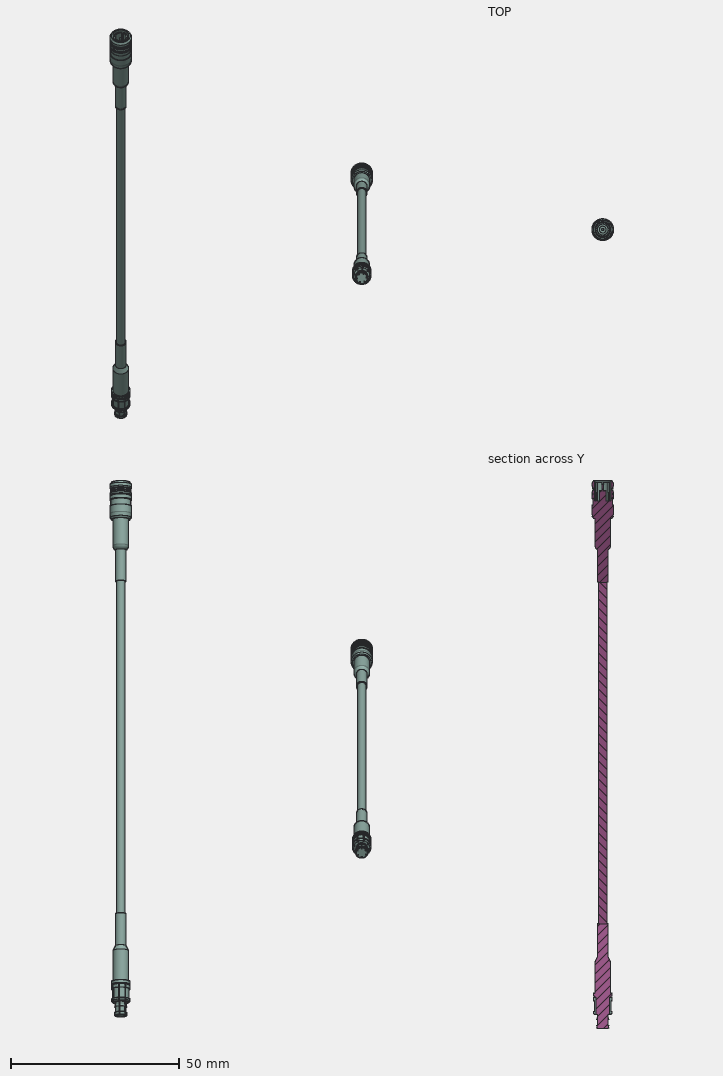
import cadquery as cq
import math

TOTAL_LENGTH = 162.98

SHELL_DIA = 6.5
SHELL_GROOVE_DIA = 6.1
BARREL_DIA = 4.75
SLEEVE_DIA = 3.25
CABLE_DIA = 2.59
COLLAR_DIA = 3.61

CABLE_BOTTOM = 31.2
CABLE_TOP = 132.8

TIP_HEIGHT = 4.1
COUPLING_TOP = 10.5
BARREL_TOP = 19.9
BARREL_CONE_TOP = 21.4

TIP_CHAMFER = (COLLAR_DIA - SLEEVE_DIA) / 2
LIP_HEIGHT = 1.1
SNAP_BOTTOM = 2.7
SNAP_TOP = 3.6
TIP_SLOT_COUNT = 6
TIP_SLOT_WIDTH = 0.2
TIP_SLOT_DEPTH = 0.55

COUPLING_DIA = 5.57
WAIST_DIA = 5.03
FLANGE_CHAMFER = 0.4
FLANGE_TOP = 5.1
WAIST_TOP = 8.2
COLLAR_GROOVE_BOTTOM = 9.3
COLLAR_GROOVE_TOP = 9.6
COUPLING_SLOT_COUNT = 8
COUPLING_SLOT_WIDTH = 0.25
COUPLING_SLOT_FLOOR_DIA = 4.12
COUPLING_SLOT_TOP = COLLAR_GROOVE_BOTTOM

JACK_BARREL_BOTTOM = 142.35
JACK_BARREL_NOSE_RADIUS = 1.5
SHELL_BOTTOM = 151.7
SHELL_CHAMFER_TOP = 152.25
SHELL_TAPER_TOP = 153.4

SHELL_TAPER_DIA = 6.3
SHELL_FOOT_DIA = 5.57
RIM_DIA = 5.57
RIM_CHAMFER_HEIGHT = 0.7
GROOVE_DEPTH = (SHELL_DIA - SHELL_GROOVE_DIA) / 2
GRIP_GROOVE_BOTTOM = 159.6
GRIP_GROOVE_TOP = 161.4
GRIP_BEVEL_HEIGHT = 0.4
GRIP_CHANNEL_DIA = 5.57
GRIP_CHANNEL_BOTTOM = 160.25
GRIP_CHANNEL_TOP = 160.7
FINE_GROOVE_BOTTOM = 158.8
FINE_GROOVE_TOP = 159.1
WIDE_GROOVE_BOTTOM = 155.7
WIDE_GROOVE_TOP = 157.7

BORE_DIA = 4.76
BORE_DEPTH = 6.0
TUBE_OUTER_DIA = 4.12
TUBE_INNER_DIA = 3.25
TUBE_RECESS = 0.5
TUBE_SLOT_COUNT = 4
TUBE_SLOT_WIDTH = 0.51
TUBE_SLOT_DEPTH = 3.0
INSULATOR_DIA = 2.03
INSULATOR_HEIGHT = 3.0
PIN_DIA = 0.66
PIN_RECESS = 1.0


def turned(profile):
    """Solid of revolution about Z from (diameter, z) corners listed upwards."""
    bottom = profile[0][1]
    top = profile[-1][1]
    corners = [(diameter / 2, z) for diameter, z in profile]
    outline = cq.Workplane("XZ").polyline([(0, bottom)] + corners + [(0, top)]).close()
    return outline.revolve(360, (0, 0, 0), (0, 1, 0))


def rod(diameter, bottom, top):
    """Plain round rod along Z."""
    return turned([(diameter, bottom), (diameter, top)])


def tube(outer_dia, inner_dia, bottom, top):
    """Straight round tube along Z."""
    return rod(outer_dia, bottom, top).cut(rod(inner_dia, bottom, top))


def cut_radial_slots(body, count, width, inner_radius, outer_radius, bottom, top):
    """Cut evenly spaced lengthwise slots, the first one on the -Y side."""
    length = outer_radius - inner_radius
    slot = cq.Workplane("XY").box(width, length, top - bottom, centered=(True, False, False))
    slot = slot.translate((0, -outer_radius, bottom))
    for index in range(count):
        body = body.cut(slot.rotate((0, 0, 0), (0, 0, 1), index * 360 / count))
    return body


def cut_ring_groove(body, outer_dia, floor_dia, bottom, top):
    """Cut a square groove around the body."""
    return body.cut(tube(outer_dia, floor_dia, bottom, top))


def make_plug():
    """Lower connector: slotted tip, slotted coupling collar, barrel and sleeve."""
    plug = turned([
        (SLEEVE_DIA, 0),
        (COLLAR_DIA, TIP_CHAMFER),
        (COLLAR_DIA, LIP_HEIGHT - TIP_CHAMFER),
        (SLEEVE_DIA, LIP_HEIGHT),
        (SLEEVE_DIA, SNAP_BOTTOM),
        (COLLAR_DIA, SNAP_BOTTOM),
        (SLEEVE_DIA, SNAP_TOP),
        (SLEEVE_DIA, TIP_HEIGHT),
        (COUPLING_DIA - 2 * FLANGE_CHAMFER, TIP_HEIGHT),
        (COUPLING_DIA, TIP_HEIGHT + FLANGE_CHAMFER),
        (COUPLING_DIA, FLANGE_TOP),
        (WAIST_DIA, FLANGE_TOP),
        (WAIST_DIA, WAIST_TOP),
        (COUPLING_DIA, WAIST_TOP),
        (COUPLING_DIA, COUPLING_TOP),
        (BARREL_DIA, COUPLING_TOP),
        (BARREL_DIA, BARREL_TOP),
        (SLEEVE_DIA, BARREL_CONE_TOP),
        (SLEEVE_DIA, CABLE_BOTTOM),
    ])
    plug = cut_ring_groove(
        plug, COUPLING_DIA, WAIST_DIA, COLLAR_GROOVE_BOTTOM, COLLAR_GROOVE_TOP
    )
    plug = cut_radial_slots(
        plug,
        COUPLING_SLOT_COUNT,
        COUPLING_SLOT_WIDTH,
        COUPLING_SLOT_FLOOR_DIA / 2,
        COUPLING_DIA / 2,
        TIP_HEIGHT,
        COUPLING_SLOT_TOP,
    )
    tip_radius = COLLAR_DIA / 2
    return cut_radial_slots(
        plug, TIP_SLOT_COUNT, TIP_SLOT_WIDTH, tip_radius - TIP_SLOT_DEPTH, tip_radius, 0, TIP_HEIGHT
    )


def make_jack_barrel():
    """Jack barrel whose lower end is rounded down to the sleeve."""
    barrel_radius = BARREL_DIA / 2
    sleeve_radius = SLEEVE_DIA / 2
    nose_centre_radius = barrel_radius - JACK_BARREL_NOSE_RADIUS
    end_angle = math.acos((sleeve_radius - nose_centre_radius) / JACK_BARREL_NOSE_RADIUS)
    nose_centre_z = JACK_BARREL_BOTTOM + JACK_BARREL_NOSE_RADIUS * math.sin(end_angle)
    nose_middle = (
        nose_centre_radius + JACK_BARREL_NOSE_RADIUS * math.cos(end_angle / 2),
        nose_centre_z - JACK_BARREL_NOSE_RADIUS * math.sin(end_angle / 2),
    )
    outline = (
        cq.Workplane("XZ")
        .moveTo(0, JACK_BARREL_BOTTOM)
        .lineTo(sleeve_radius, JACK_BARREL_BOTTOM)
        .threePointArc(nose_middle, (barrel_radius, nose_centre_z))
        .lineTo(barrel_radius, SHELL_BOTTOM)
        .lineTo(0, SHELL_BOTTOM)
        .close()
    )
    return outline.revolve(360, (0, 0, 0), (0, 1, 0))


def make_jack():
    """Upper connector: sleeve, barrel, grooved shell and socket."""
    sleeve = rod(SLEEVE_DIA, CABLE_TOP, JACK_BARREL_BOTTOM)
    shell = turned([
        (SHELL_FOOT_DIA, SHELL_BOTTOM),
        (SHELL_TAPER_DIA, SHELL_CHAMFER_TOP),
        (SHELL_DIA, SHELL_TAPER_TOP),
        (SHELL_DIA, WIDE_GROOVE_BOTTOM),
        (SHELL_GROOVE_DIA, WIDE_GROOVE_BOTTOM),
        (SHELL_GROOVE_DIA, WIDE_GROOVE_TOP - GROOVE_DEPTH),
        (SHELL_DIA, WIDE_GROOVE_TOP),
        (SHELL_DIA, GRIP_GROOVE_BOTTOM),
        (SHELL_GROOVE_DIA, GRIP_GROOVE_BOTTOM + GRIP_BEVEL_HEIGHT),
        (SHELL_GROOVE_DIA, GRIP_GROOVE_TOP - GRIP_BEVEL_HEIGHT),
        (SHELL_DIA, GRIP_GROOVE_TOP),
        (SHELL_DIA, TOTAL_LENGTH - RIM_CHAMFER_HEIGHT),
        (RIM_DIA, TOTAL_LENGTH),
    ])
    shell = cut_ring_groove(
        shell, SHELL_GROOVE_DIA, GRIP_CHANNEL_DIA, GRIP_CHANNEL_BOTTOM, GRIP_CHANNEL_TOP
    )
    shell = cut_ring_groove(
        shell, SHELL_DIA, SHELL_GROOVE_DIA, FINE_GROOVE_BOTTOM, FINE_GROOVE_TOP
    )

    bore_floor = TOTAL_LENGTH - BORE_DEPTH
    shell = shell.cut(rod(BORE_DIA, bore_floor, TOTAL_LENGTH))

    tube_top = TOTAL_LENGTH - TUBE_RECESS
    contact_tube = tube(TUBE_OUTER_DIA, TUBE_INNER_DIA, bore_floor, tube_top)
    contact_tube = cut_radial_slots(
        contact_tube,
        TUBE_SLOT_COUNT,
        TUBE_SLOT_WIDTH,
        0,
        TUBE_OUTER_DIA / 2,
        tube_top - TUBE_SLOT_DEPTH,
        tube_top,
    )
    pin = rod(PIN_DIA, bore_floor, TOTAL_LENGTH - PIN_RECESS)
    insulator = rod(INSULATOR_DIA, bore_floor, bore_floor + INSULATOR_HEIGHT)
    jack = sleeve
    for portion in (make_jack_barrel(), shell, contact_tube, insulator, pin):
        jack = jack.union(portion)
    return jack


plug = make_plug()
cable = rod(CABLE_DIA, CABLE_BOTTOM, CABLE_TOP)
jack = make_jack()

result = cq.Compound.makeCompound([plug.val(), cable.val(), jack.val()])